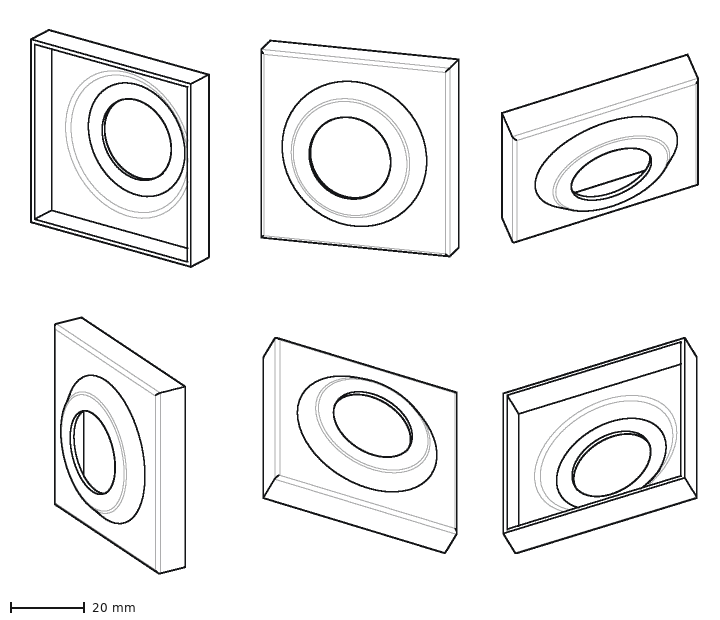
import cadquery as cq

side = 53.7
tray_depth = 9.0
collar_height = 4.0
wall = 1.2
back_edge_radius = 1.0

hole_diameter = 23.2
collar_base_radius = 20.6
recess_end_radius = 16.2
collar_tip_rounding = 1.0
recess_mouth_rounding = 2.0

total_depth = tray_depth + collar_height
floor_depth = tray_depth - wall
collar_tip_radius = collar_base_radius - collar_height
recess_mouth_radius = recess_end_radius + collar_height


def cone(start_y, start_radius, end_radius):
    """Cone frustum on the Y axis, as deep as the collar is high."""
    profile = (
        cq.Workplane("XY")
        .moveTo(0, start_y)
        .lineTo(start_radius, start_y)
        .lineTo(end_radius, start_y + collar_height)
        .lineTo(0, start_y + collar_height)
        .close()
    )
    return profile.revolve(360, (0, 0, 0), (0, 1, 0))


def tray_block():
    """Solid square block with a rounded outline on the back face."""
    block = cq.Workplane("XY").box(side, tray_depth, side, centered=(True, False, True))
    return block.faces(">Y").edges().fillet(back_edge_radius)


def tray_cavity():
    """Square space inside the rim, down to the tray floor."""
    inner_side = side - 2 * wall
    return cq.Workplane("XY").box(inner_side, floor_depth, inner_side, centered=(True, False, True))


def collar():
    """Outer cone of the collar with its end edge rounded."""
    body = cone(tray_depth, collar_base_radius, collar_tip_radius)
    return body.faces(">Y").edges().fillet(collar_tip_rounding)


def round_recess_mouth(body):
    """Round the circular edge between the tray floor and the recess."""
    margin = wall / 2
    mouth_zone = cq.selectors.BoxSelector(
        (-side, floor_depth - margin, -side),
        (side, floor_depth + margin, side),
    )
    return body.edges(mouth_zone).edges("%CIRCLE").fillet(recess_mouth_rounding)


def through_hole():
    """Round hole along Y through the collar end."""
    cylinder = cq.Workplane("XZ").circle(hole_diameter / 2).extrude(-total_depth)
    return cylinder


body = tray_block().union(collar())
body = body.cut(tray_cavity())
body = body.cut(cone(floor_depth, recess_mouth_radius, recess_end_radius))
body = round_recess_mouth(body)
result = body.cut(through_hole())